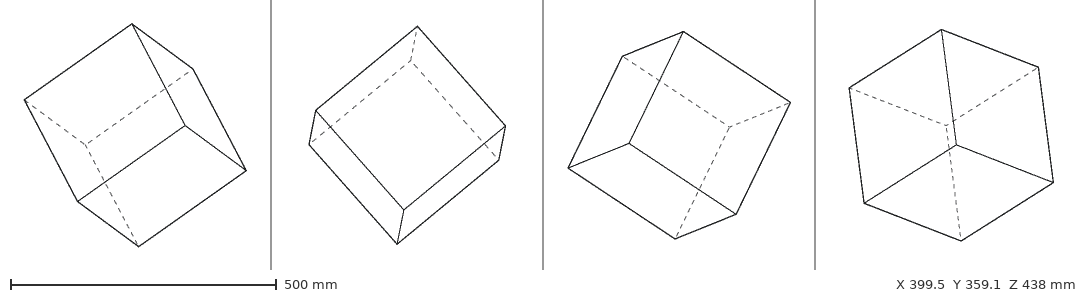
import cadquery as cq
import math

overall_height = 438.0
tilt_about_x = 44.0
tilt_about_y = 30.0

roll = math.radians(tilt_about_x)
pitch = math.radians(tilt_about_y)
height_per_edge = math.sin(pitch) + math.cos(pitch) * (math.sin(roll) + math.cos(roll))
edge = overall_height / height_per_edge

origin = (0, 0, 0)
x_axis = (1, 0, 0)
y_axis = (0, 1, 0)

result = (
    cq.Workplane("XY")
    .box(edge, edge, edge)
    .rotate(origin, x_axis, tilt_about_x)
    .rotate(origin, y_axis, tilt_about_y)
)